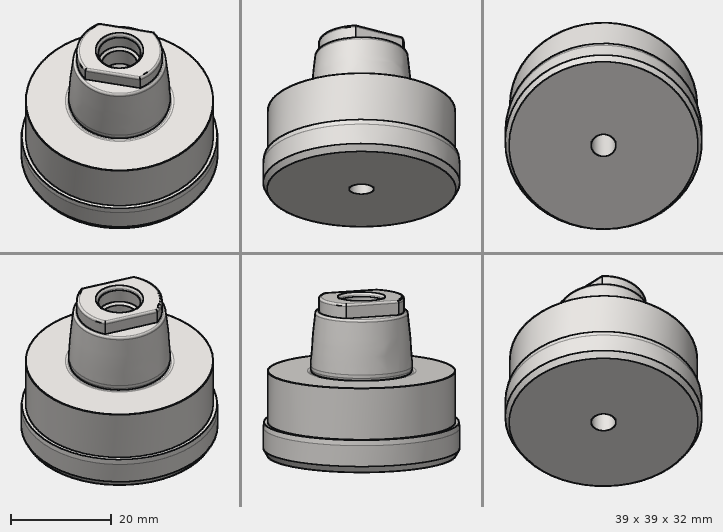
import cadquery as cq
import math

flange_radius = 19.5
flange_top_radius = 19.35
flange_height = 6.65
flange_taper_start = 5.6
bottom_chamfer_height = 1.35
bottom_chamfer_width = 0.78
drum_radius = 18.6
drum_height = 17.0
drum_edge_chamfer = 0.08

groove_outer_radius = 10.77
groove_floor_radius = 10.25
groove_depth = 0.15

neck_foot_radius = 9.9
neck_max_radius = 10.05
neck_mid_radius = 9.75
neck_top_radius = 9.2
neck_foot_top = 17.4
neck_taper_start = 18.05
neck_taper_end = 28.55
neck_height = 29.05
neck_edge_fillet = neck_height - neck_taper_end

boss_radius = 8.45
boss_height = 31.95
flat_distance = 6.4
flat_normal_angle = 150.0
boss_edge_fillet = 0.45

bore_mouth_radius = 4.72
bore_bevel_radius = 4.35
bore_bevel_depth = 0.45
bore_radius = 4.18
bore_start_depth = 0.8
bore_depth = 3.55
counterbore_radius = 3.5
counterbore_start_depth = 3.98
counterbore_depth = 7.8
through_radius = 2.45
cone_half_angle = 45.0
cone_height = (counterbore_radius - through_radius) / math.tan(math.radians(cone_half_angle))
cone_depth = counterbore_depth + cone_height


def make_body():
    """Revolve the flange, drum, groove and neck about Z."""
    groove_z = drum_height - groove_depth
    shoulder_radius = neck_top_radius - neck_edge_fillet
    neck_mid_z = (neck_taper_start + neck_taper_end) / 2
    diagonal = neck_edge_fillet * math.sqrt(0.5)
    fillet_mid = (shoulder_radius + diagonal, neck_taper_end + diagonal)
    return (
        cq.Workplane("XZ")
        .lineTo(flange_radius - bottom_chamfer_width, 0)
        .lineTo(flange_radius, bottom_chamfer_height)
        .lineTo(flange_radius, flange_taper_start)
        .lineTo(flange_top_radius, flange_height)
        .lineTo(drum_radius, flange_height)
        .lineTo(drum_radius, drum_height - drum_edge_chamfer)
        .lineTo(drum_radius - drum_edge_chamfer, drum_height)
        .lineTo(groove_outer_radius, drum_height)
        .lineTo(groove_floor_radius, groove_z)
        .lineTo(neck_foot_radius, groove_z)
        .lineTo(neck_max_radius, neck_foot_top)
        .lineTo(neck_max_radius, neck_taper_start)
        .threePointArc((neck_mid_radius, neck_mid_z), (neck_top_radius, neck_taper_end))
        .threePointArc(fillet_mid, (shoulder_radius, neck_height))
        .lineTo(0, neck_height)
        .close()
        .revolve(360, (0, 0, 0), (0, 1, 0))
    )


def make_boss():
    """Round boss trimmed by two flats, with a rounded top edge."""
    height = boss_height - neck_height
    between_flats = (
        cq.Workplane("XY")
        .rect(2 * flat_distance, 2 * flange_radius)
        .extrude(height)
        .edges("|Y and >Z")
        .fillet(boss_edge_fillet)
        .rotate((0, 0, 0), (0, 0, 1), flat_normal_angle)
    )
    disc = (
        cq.Workplane("XY")
        .circle(boss_radius)
        .extrude(height)
        .faces(">Z")
        .edges()
        .fillet(boss_edge_fillet)
    )
    return disc.intersect(between_flats).translate((0, 0, neck_height))


def make_bore():
    """Bevelled socket narrowing to a counterbore, then by a cone to a through hole."""
    return (
        cq.Workplane("XZ")
        .lineTo(through_radius, 0)
        .lineTo(through_radius, boss_height - cone_depth)
        .lineTo(counterbore_radius, boss_height - counterbore_depth)
        .lineTo(counterbore_radius, boss_height - counterbore_start_depth)
        .lineTo(bore_radius, boss_height - bore_depth)
        .lineTo(bore_radius, boss_height - bore_start_depth)
        .lineTo(bore_bevel_radius, boss_height - bore_bevel_depth)
        .lineTo(bore_mouth_radius, boss_height)
        .lineTo(0, boss_height)
        .close()
        .revolve(360, (0, 0, 0), (0, 1, 0))
    )


result = make_body().union(make_boss()).cut(make_bore())